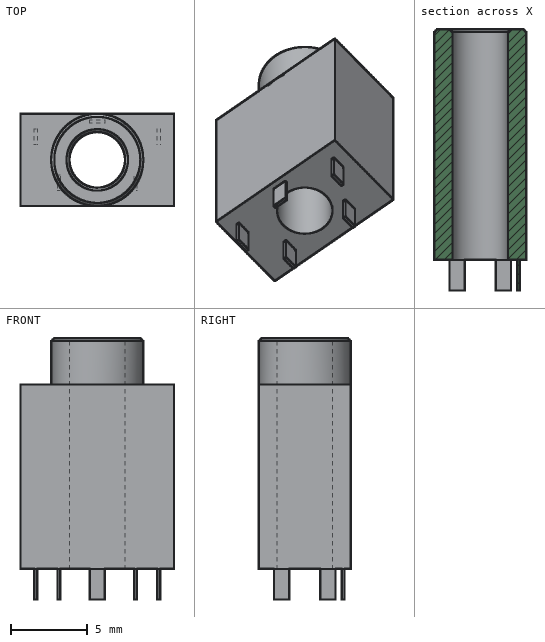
import cadquery as cq

block_width = 10.0
block_depth = 6.0
block_height = 12.0

collar_diameter = block_depth
collar_height = 3.0
bore_diameter = 3.6
rim_chamfer = 0.2

pin_length = 2.0
pin_width = 1.0
pin_thickness = 0.2

inner_pin_x = 2.5
outer_pin_x = 4.0
side_pin_y = 1.5
side_pin_places = [
    (-outer_pin_x, side_pin_y),
    (outer_pin_x, side_pin_y),
    (-inner_pin_x, -side_pin_y),
    (inner_pin_x, -side_pin_y),
]

back_pin_y = 2.5


def make_housing():
    """Block and chamfered collar in one piece, bored through from top to bottom."""
    block = cq.Workplane("XY").box(block_width, block_depth, block_height, centered=(True, True, False))
    collar = (
        cq.Workplane("XY")
        .workplane(offset=block_height)
        .circle(collar_diameter / 2)
        .circle(bore_diameter / 2)
        .extrude(collar_height)
        .faces(">Z")
        .edges()
        .chamfer(rim_chamfer)
    )
    bore = cq.Workplane("XY").circle(bore_diameter / 2).extrude(block_height)
    return block.cut(bore).union(collar).solids()


def make_pin(x, y, size_x, size_y):
    """Flat pin hanging from the underside of the block."""
    return cq.Workplane("XY").center(x, y).rect(size_x, size_y).extrude(-pin_length)


housing = make_housing()
side_pins = [make_pin(x, y, pin_thickness, pin_width) for x, y in side_pin_places]
back_pin = make_pin(0, back_pin_y, pin_width, pin_thickness)

result = cq.Compound.makeCompound(
    [housing.val(), back_pin.val(), *[pin.val() for pin in side_pins]]
)